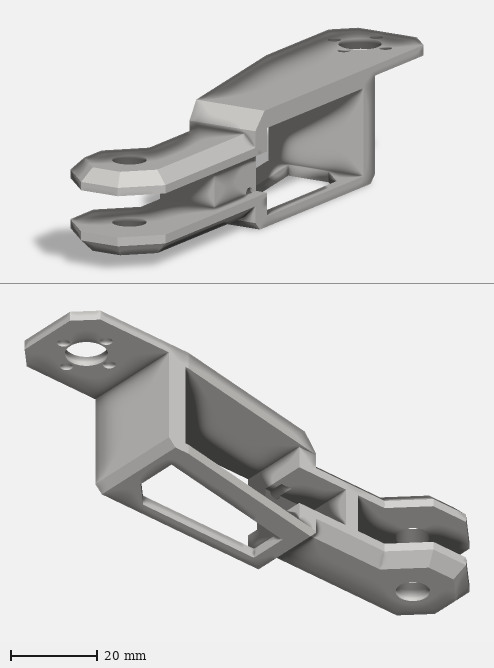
import cadquery as cq

width = 26.0
length = 125.0
height = 28.0

frame_front = 47.0
frame_rear = 99.0
opening_front = 52.1
opening_rear = 94.0
opening_bottom = 2.5
opening_top = 23.6
horn_plate_thickness = 2.5
top_front_chamfer = 4.0
bottom_chamfer = 2.0

neck_left = 8.0
taper_rear = 93.0
plate_corner = 5.0

horn_y = 113.0
horn_bore = 10.0
screw_hole = 3.0
horn_screw_radius = 7.0

window_side_margin = 3.0
window_taper_margin = 6.0
window_front = 53.0
window_corner = 6.0

fork_bottom = 3.0
fork_top = 23.0
fork_corner = 8.0
fork_hole = 8.0
fork_hole_y = width / 2
fork_chamfer = 3.0
slot_bottom = 8.1
slot_top = 18.0
web_front = 34.1
web_rear = 37.8

side_plate_left = 20.0
side_plate_right = 23.0
servo_screw_depth = 7.0
servo_screw_y = 49.1


def box(x0, x1, y0, y1, z0, z1):
    """Axis-aligned box between two opposite corners."""
    return cq.Workplane("XY").box(x1 - x0, y1 - y0, z1 - z0, centered=False).translate((x0, y0, z0))


def make_frame():
    """Closed servo frame with the overhanging horn plate, trimmed to the tapered plan."""
    plate_bottom = height - horn_plate_thickness
    side_profile = [
        (frame_front, bottom_chamfer),
        (frame_front + bottom_chamfer, 0),
        (frame_rear - bottom_chamfer, 0),
        (frame_rear, bottom_chamfer),
        (frame_rear, plate_bottom),
        (length, plate_bottom),
        (length, height),
        (frame_front + top_front_chamfer, height),
        (frame_front, height - top_front_chamfer),
    ]
    plan = [
        (neck_left, frame_front),
        (width, frame_front),
        (width, length - plate_corner),
        (width - plate_corner, length),
        (plate_corner, length),
        (0, length - plate_corner),
        (0, taper_rear),
    ]
    frame = cq.Workplane("YZ").polyline(side_profile).close().extrude(width)
    frame = frame.intersect(cq.Workplane("XY").polyline(plan).close().extrude(height))
    frame = frame.cut(box(0, width, opening_front, opening_rear, opening_bottom, opening_top))
    return frame.cut(box(0, neck_left, frame_front, opening_front, opening_bottom, opening_top))


def make_fork():
    """Fork arm block with chamfered top and bottom edges and an octagonal tip."""
    tip_rear = 2 * fork_hole_y - fork_corner
    plan = [
        (fork_corner, 0),
        (width - fork_corner, 0),
        (width, fork_corner),
        (width, opening_front),
        (neck_left, opening_front),
        (neck_left, tip_rear + neck_left),
        (0, tip_rear),
        (0, fork_corner),
    ]
    fork = cq.Workplane("XY").workplane(offset=fork_bottom).polyline(plan).close()
    fork = fork.extrude(fork_top - fork_bottom)
    return fork.faces("<Z or >Z").chamfer(fork_chamfer)


def z_hole(x, y, diameter):
    """Cutter for a vertical through hole."""
    return cq.Workplane("XY").center(x, y).circle(diameter / 2).extrude(height)


def make_window():
    """Cutter for the floor window, its left edge parallel to the frame taper."""
    slope = neck_left / (taper_rear - frame_front)
    right = width - window_side_margin
    left_front = window_taper_margin + slope * (taper_rear - window_front)
    outline = [
        (left_front, window_front),
        (right, window_front),
        (right, taper_rear - window_corner),
        (right - window_corner, taper_rear),
        (window_taper_margin, taper_rear),
    ]
    return cq.Workplane("XY").polyline(outline).close().extrude(opening_bottom)


result = make_frame().union(make_fork())
result = result.cut(make_window())

result = result.cut(box(0, width, 0, web_front, slot_bottom, slot_top))
result = result.cut(box(0, side_plate_left, web_rear, opening_front, slot_bottom, slot_top))

result = result.cut(box(side_plate_right, width, web_front, opening_front, slot_bottom, slot_top))

result = result.cut(z_hole(width / 2, fork_hole_y, fork_hole))
result = result.cut(z_hole(width / 2, horn_y, horn_bore))
for dx, dy in [(1, 0), (-1, 0), (0, 1), (0, -1)]:
    screw_x = width / 2 + dx * horn_screw_radius
    screw_y = horn_y + dy * horn_screw_radius
    result = result.cut(z_hole(screw_x, screw_y, screw_hole))

screw_start = side_plate_right - servo_screw_depth
for screw_z in (slot_bottom, slot_top):
    screw = cq.Workplane("YZ").workplane(offset=screw_start).center(servo_screw_y, screw_z)
    result = result.cut(screw.circle(screw_hole / 2).extrude(servo_screw_depth))